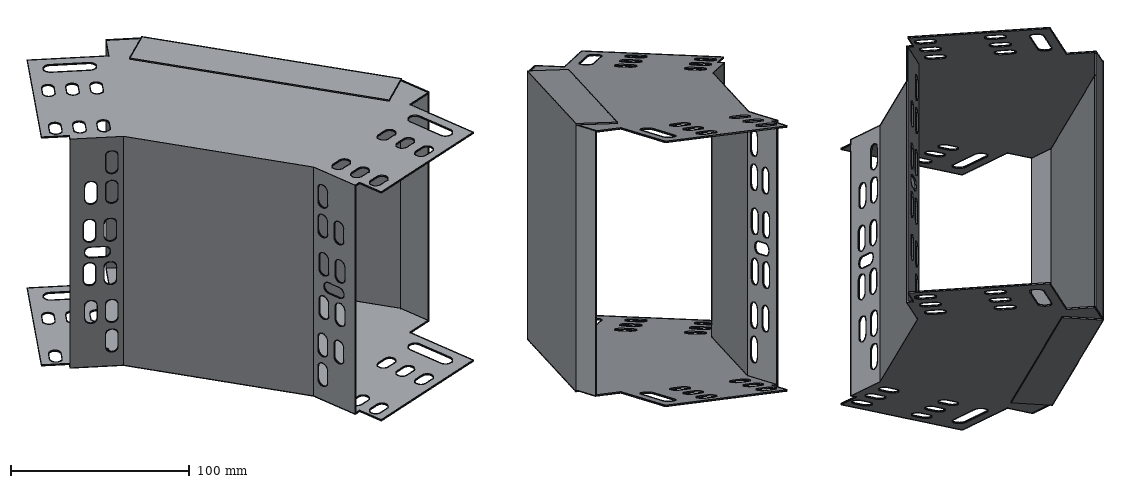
import cadquery as cq
import math


OVERALL_WIDTH = 261.0
SHEET = 0.8
OVERALL_HEIGHT = 153.2
DEPTH = 102.0
BACK_HALF = 76.0
ARM_ANGLE = 22.5
COVER_WING = 20.0
COVER_FLANGE = 23.5

TAB_BACK = 17.0
TAB_FRONT = 98.1
WALL_END = 50.5

PLATE_SLOT_WIDTH = 7.0
PLATE_SLOT_LENGTH = 12.5
PLATE_SLOT_ALONG = (30.3, 43.8, 57.5)
PLATE_SLOT_ACROSS = (49.8, 89.8)
LONG_SLOT_WIDTH = 8.0
LONG_SLOT_LENGTH = 30.0
LONG_SLOT_ALONG = 43.0
LONG_SLOT_ACROSS = 27.0

WALL_SLOT_WIDTH = 7.0
WALL_SLOT_LENGTH = 15.1
WALL_SLOT_PITCH = 11.7
OUTER_ROWS_FROM_BEND = 6.5
INNER_ROW_FROM_BEND = 7.3
TOP_ROW_Z = 59.0
MIDDLE_ROW_Z = 39.5
INNER_ROW_Z = 14.4
CROSS_SLOT_LENGTH = 14.5
CROSS_SLOT_FROM_BEND = 14.5

CHANNEL_HEIGHT = OVERALL_HEIGHT - 2 * SHEET
SWEEP = math.radians(ARM_ANGLE)
MITRE = math.tan(SWEEP / 2)
FRONT_BEND_ALONG = DEPTH * MITRE
ARM_END = (OVERALL_WIDTH / 2 - BACK_HALF + TAB_BACK * math.sin(SWEEP)) / math.cos(SWEEP)
CUT_DEPTH = 4 * SHEET
SIDES = (-1, 1)


def arm_point(side, along, across):
    """XY of a point given in the frame of the left (-1) or right (+1) arm."""
    reach = BACK_HALF + along * math.cos(SWEEP) - across * math.sin(SWEEP)
    return side * reach, -along * math.sin(SWEEP) - across * math.cos(SWEEP)


def bend_point(side, across):
    """XY of the mitred bend at a depth below the back face."""
    return side * (BACK_HALF - across * MITRE), -across


def symmetric_prism(right_half, height):
    """Prism centred on Z = 0, from the outline points of its right half."""
    left = [(-x, y) for x, y in reversed(right_half)]
    return cq.Workplane("XY").polyline(right_half + left).close().extrude(height / 2, both=True)


def wall(outer_across, inner_across, arm_length, height):
    """Bent upright sheet between two depths, with an arm at each end."""
    return symmetric_prism(
        [
            bend_point(1, outer_across),
            arm_point(1, arm_length, outer_across),
            arm_point(1, arm_length, inner_across),
            bend_point(1, inner_across),
        ],
        height,
    )


def plate_outline():
    """Right half of the plate outline, from the back bend to the front bend."""
    return [
        bend_point(1, SHEET),
        arm_point(1, COVER_WING, SHEET),
        arm_point(1, COVER_WING, TAB_BACK),
        arm_point(1, ARM_END, TAB_BACK),
        arm_point(1, ARM_END, TAB_FRONT),
        arm_point(1, WALL_END, TAB_FRONT),
        arm_point(1, WALL_END, DEPTH),
        bend_point(1, DEPTH),
    ]


def plate_slot_cutter(side, along, across, length, width, angle):
    """Upright slot cutter through both plates; angle is measured from the arm direction."""
    return (
        cq.Workplane("XY")
        .center(*arm_point(side, along, across))
        .slot2D(length, width, side * (angle - ARM_ANGLE))
        .extrude(CHANNEL_HEIGHT, both=True)
    )


def wall_slot_cutter(side, from_bend, z, length, angle):
    """Slot cutter square to one arm of the front wall; angle is measured from the arm direction."""
    x, y = arm_point(side, FRONT_BEND_ALONG + from_bend, DEPTH)
    arm_direction = (math.cos(SWEEP), -side * math.sin(SWEEP), 0)
    outward = (-side * math.sin(SWEEP), -math.cos(SWEEP), 0)
    face = cq.Plane(origin=(x, y, z), xDir=arm_direction, normal=outward)
    return cq.Workplane(face).slot2D(length, WALL_SLOT_WIDTH, angle).extrude(CUT_DEPTH, both=True)


def upright_wall_slots():
    """Distance from the front bend and height of every upright slot in one arm of the wall."""
    upper = [(OUTER_ROWS_FROM_BEND, TOP_ROW_Z)]
    for column in range(2):
        shift = column * WALL_SLOT_PITCH
        upper.append((OUTER_ROWS_FROM_BEND + shift, MIDDLE_ROW_Z))
        upper.append((INNER_ROW_FROM_BEND + shift, INNER_ROW_Z))
    return upper + [(from_bend, -z) for from_bend, z in upper]


def make_channel():
    """Front wall with the top and bottom plates folded back from it."""
    blank = symmetric_prism(plate_outline(), CHANNEL_HEIGHT)
    core = symmetric_prism(plate_outline(), CHANNEL_HEIGHT - 2 * SHEET)
    channel = blank.cut(core).union(wall(DEPTH, DEPTH - SHEET, WALL_END, CHANNEL_HEIGHT))

    for side in SIDES:
        for along in PLATE_SLOT_ALONG:
            for across in PLATE_SLOT_ACROSS:
                channel = channel.cut(
                    plate_slot_cutter(side, along, across, PLATE_SLOT_LENGTH, PLATE_SLOT_WIDTH, 90)
                )
        channel = channel.cut(
            plate_slot_cutter(
                side, LONG_SLOT_ALONG, LONG_SLOT_ACROSS, LONG_SLOT_LENGTH, LONG_SLOT_WIDTH, 0
            )
        )
        for from_bend, z in upright_wall_slots():
            channel = channel.cut(wall_slot_cutter(side, from_bend, z, WALL_SLOT_LENGTH, 90))
        channel = channel.cut(wall_slot_cutter(side, CROSS_SLOT_FROM_BEND, 0, CROSS_SLOT_LENGTH, 0))
    return channel


def make_cover():
    """Bent back wall as tall as the channel, with flanges lying on the channel's plates."""
    cover = wall(0, SHEET, COVER_WING, CHANNEL_HEIGHT)
    flange_z = (CHANNEL_HEIGHT + SHEET) / 2
    for level in SIDES:
        flange = cq.Workplane("XY").box(2 * BACK_HALF, COVER_FLANGE, SHEET)
        cover = cover.union(flange.translate((0, -COVER_FLANGE / 2, level * flange_z)))
    return cover


channel = make_channel()
cover = make_cover()

result = cq.Compound.makeCompound([channel.val(), cover.val()])